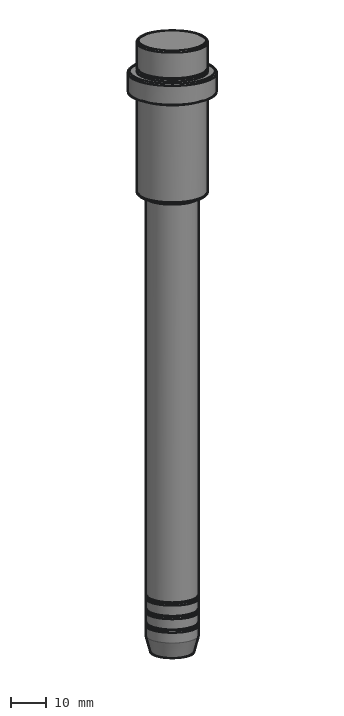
import cadquery as cq
import math

TOTAL_LENGTH = 180.0
HEAD_HEIGHT = 9.0
COLLAR_HEIGHT = 6.0
SLEEVE_LENGTH = 30.0
TIP_LENGTH = 5.0

COLLAR_DIAMETER = 25.0
SHANK_DIAMETER = 20.0
ROD_DIAMETER = 15.0

EDGE_CHAMFER = 0.5

GROOVE_WIDTH = 1.0
RELIEF_DEPTH = 0.5
NECK_DEPTH = 0.25
RING_DEPTH = 0.45
RING_COUNT = 3
RING_PITCH = 4.0
FIRST_RING_HEIGHT = 8.0

TIP_ANGLE = 15.0
TIP_FILLET = 0.5

collar_radius = COLLAR_DIAMETER / 2
shank_radius = SHANK_DIAMETER / 2
rod_radius = ROD_DIAMETER / 2
end_radius = rod_radius - TIP_LENGTH * math.tan(math.radians(TIP_ANGLE))

collar_bottom = 0.0
collar_top = collar_bottom + COLLAR_HEIGHT
pin_top = collar_top + HEAD_HEIGHT
sleeve_bottom = collar_bottom - SLEEVE_LENGTH
pin_bottom = pin_top - TOTAL_LENGTH
tip_top = pin_bottom + TIP_LENGTH


def v_groove(radius, depth, bottom):
    """Outline points of a V groove in a cylinder, from its lower to its upper edge."""
    return [
        (radius, bottom),
        (radius - depth, bottom + GROOVE_WIDTH / 2),
        (radius, bottom + GROOVE_WIDTH),
    ]


def rod_outline():
    """Tip cone, ring grooves and rod up to the underside of the sleeve."""
    points = [(0, pin_bottom), (end_radius, pin_bottom), (rod_radius, tip_top)]
    for index in range(RING_COUNT):
        ring_bottom = pin_bottom + FIRST_RING_HEIGHT + index * RING_PITCH
        points += v_groove(rod_radius, RING_DEPTH, ring_bottom)
    return points + v_groove(rod_radius, NECK_DEPTH, sleeve_bottom - GROOVE_WIDTH)


def sleeve_outline():
    """Chamfered sleeve with its relief groove under the collar."""
    chamfer = [
        (shank_radius - EDGE_CHAMFER, sleeve_bottom),
        (shank_radius, sleeve_bottom + EDGE_CHAMFER),
    ]
    return chamfer + v_groove(shank_radius, RELIEF_DEPTH, collar_bottom - GROOVE_WIDTH)


def collar_outline():
    """Collar with a sharp lower and a chamfered upper edge."""
    return [
        (collar_radius, collar_bottom),
        (collar_radius, collar_top - EDGE_CHAMFER),
        (collar_radius - EDGE_CHAMFER, collar_top),
    ]


def head_outline():
    """Relief groove above the collar and the chamfered head."""
    chamfer = [
        (shank_radius, pin_top - EDGE_CHAMFER),
        (shank_radius - EDGE_CHAMFER, pin_top),
        (0, pin_top),
    ]
    return v_groove(shank_radius, RELIEF_DEPTH, collar_top) + chamfer


def make_pin():
    """Half section swept around Z, with the end edge of the tip rounded."""
    half_plane = cq.Plane(origin=(0, 0, 0), xDir=(-1, 0, 0), normal=(0, 1, 0))
    outline = rod_outline() + sleeve_outline() + collar_outline() + head_outline()
    pin = cq.Workplane(half_plane).polyline(outline).close().revolve(360, (0, 0, 0), (0, 1, 0))
    return pin.faces("<Z").edges().fillet(TIP_FILLET)


result = make_pin()